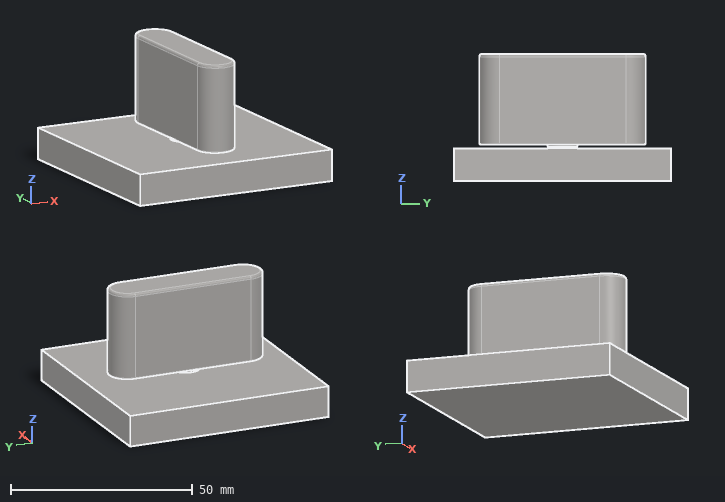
import cadquery as cq

plate_side = 60.0
plate_thickness = 9.0

overall_height = 35.1
knob_length = 45.95
knob_width = 11.0
knob_gap = 1.0
top_fillet = 0.8
bottom_fillet = 0.5

neck_diameter = 8.15
neck_top_diameter = 8.5
neck_flare_height = 0.5

grip_bottom = plate_thickness + knob_gap
grip_height = overall_height - grip_bottom


def make_plate():
    return cq.Workplane("XY").box(plate_side, plate_side, plate_thickness, centered=(True, True, False))


def make_neck():
    radius = neck_diameter / 2
    return (
        cq.Workplane("XZ")
        .moveTo(0, plate_thickness)
        .lineTo(radius, plate_thickness)
        .lineTo(radius, grip_bottom - neck_flare_height)
        .lineTo(neck_top_diameter / 2, grip_bottom)
        .lineTo(0, grip_bottom)
        .close()
        .revolve(360, (0, 0), (0, 1))
    )


def make_knob():
    grip = (
        cq.Workplane("XY")
        .workplane(offset=grip_bottom)
        .slot2D(knob_length, knob_width, 90)
        .extrude(grip_height)
    )
    grip = grip.faces(">Z").edges().fillet(top_fillet)
    grip = grip.faces("<Z").edges().fillet(bottom_fillet)
    return grip.union(make_neck())


plate = make_plate()
knob = make_knob()

result = cq.Compound.makeCompound([plate.val(), knob.val()])